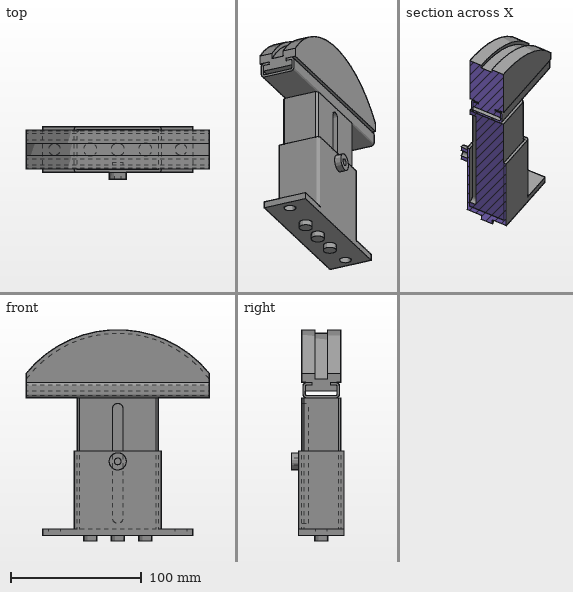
import cadquery as cq
import math


PLATE_LENGTH = 114.8
PLATE_THICKNESS = 5.2
HOUSING_LENGTH = 66.6
HOUSING_WIDTH = 35.1
HOUSING_TOP = 64.8
HOUSING_WALL = 2.3
HOUSING_CORNER_RADIUS = 2.3
BOLT_HOLE_DIAMETER = 8.9
BOLT_HOLE_SPACING = 96.7
BOLT_HOLE_COUNT = 2
PEG_DIAMETER = 10.0
PEG_LENGTH = 4.2
PEG_PITCH = 21.0
PEG_COUNT = 3

COLLAR_DIAMETER = 13.1
COLLAR_BORE = 5.2
COLLAR_LENGTH = 5.3
COLLAR_Z = 56.8

POST_LENGTH = 62.1
POST_WIDTH = 30.0
POST_TOP = 105.3
POST_CHAMFER = 2.0
SLOT_WIDTH = 8.1
SLOT_DEPTH = 5.2
SLOT_END_MARGIN = 4.2
SCALE_WIDTH = 15.4
SCALE_CENTRE_X = -15.7
SCALE_TOP = 103.2
SCALE_END_BAND = 22.0
SCALE_MIDDLE_BAND = 9.9
SCALE_DEPTH = 1.0

RAIL_LENGTH = 140.0
RAIL_WIDTH = 28.0
RAIL_HEIGHT = 12.0
RAIL_WALL = 2.0
RAIL_OUTER_RADIUS = 2.9
RAIL_INNER_RADIUS = RAIL_OUTER_RADIUS - RAIL_WALL
RAIL_MOUTH = 14.2
RAIL_TOP = POST_TOP + RAIL_HEIGHT

SADDLE_WIDTH = POST_WIDTH
SADDLE_RADIUS = 90.0
OVERALL_HEIGHT = 161.7
SADDLE_TOP = OVERALL_HEIGHT - PEG_LENGTH
GROOVE_WIDTH = 9.4
GROOVE_DEPTH = 2.7
FOOT_WIDTH = RAIL_WIDTH - 2 * RAIL_WALL
FOOT_THICKNESS = 4.9


def box(length, width, bottom, top):
    """Upright block centred on X and Y between two heights."""
    return cq.Workplane("XY").workplane(offset=bottom).rect(length, width).extrude(top - bottom)


def full_length_bar(width, bottom, top):
    """Block of the rail's full length."""
    return box(RAIL_LENGTH, width, bottom, top)


def make_housing():
    plate = box(PLATE_LENGTH, HOUSING_WIDTH, 0, PLATE_THICKNESS)
    tube = box(HOUSING_LENGTH, HOUSING_WIDTH, PLATE_THICKNESS, HOUSING_TOP)
    tube = tube.edges("|Z").fillet(HOUSING_CORNER_RADIUS)
    cavity_length = HOUSING_LENGTH - 2 * HOUSING_WALL
    cavity_width = HOUSING_WIDTH - 2 * HOUSING_WALL
    cavity = box(cavity_length, cavity_width, PLATE_THICKNESS, HOUSING_TOP)
    bolt_holes = (
        cq.Workplane("XY")
        .rarray(BOLT_HOLE_SPACING, 1.6, BOLT_HOLE_COUNT, 1)
        .circle(BOLT_HOLE_DIAMETER / 2)
        .extrude(PLATE_THICKNESS)
    )
    pegs = cq.Workplane("XY").rarray(PEG_PITCH, 1.6, PEG_COUNT, 1).circle(PEG_DIAMETER / 2).extrude(-PEG_LENGTH)
    return plate.union(tube).cut(cavity).cut(bolt_holes).union(pegs)


def make_collar():
    return (
        cq.Workplane("XZ", origin=(0, -HOUSING_WIDTH / 2, COLLAR_Z))
        .circle(COLLAR_DIAMETER / 2)
        .circle(COLLAR_BORE / 2)
        .extrude(COLLAR_LENGTH)
    )


def make_post():
    post = box(POST_LENGTH, POST_WIDTH, PLATE_THICKNESS, POST_TOP).edges("|Z").chamfer(POST_CHAMFER)
    slot_length = POST_TOP - PLATE_THICKNESS - 2 * SLOT_END_MARGIN
    slot_z = (POST_TOP + PLATE_THICKNESS) / 2
    slot = (
        cq.Workplane("XZ", origin=(0, -POST_WIDTH / 2, slot_z))
        .slot2D(slot_length, SLOT_WIDTH, angle=90)
        .extrude(-SLOT_DEPTH)
    )
    return add_scale(post.cut(slot))


def add_scale(post):
    """Divide the front face into three flush bands."""
    band_top = SCALE_TOP
    for height in (SCALE_END_BAND, SCALE_MIDDLE_BAND, SCALE_END_BAND):
        band = (
            cq.Workplane("XZ", origin=(SCALE_CENTRE_X, -POST_WIDTH / 2, band_top - height / 2))
            .rect(SCALE_WIDTH, height)
            .extrude(-SCALE_DEPTH)
        )
        post = post.cut(band, clean=False).union(band, clean=False)
        band_top -= height
    return post


def make_rail():
    outer = full_length_bar(RAIL_WIDTH, POST_TOP, RAIL_TOP).edges("|X").fillet(RAIL_OUTER_RADIUS)
    inner = full_length_bar(FOOT_WIDTH, POST_TOP + RAIL_WALL, RAIL_TOP - RAIL_WALL)
    inner = inner.edges("|X").fillet(RAIL_INNER_RADIUS)
    mouth = full_length_bar(RAIL_MOUTH, RAIL_TOP - RAIL_WALL, RAIL_TOP)
    return outer.cut(inner).cut(mouth)


def saddle_segment(width, radius, top, bottom):
    """Slab with an arched top, as long as the rail."""
    half_length = RAIL_LENGTH / 2
    shoulder = top - radius + math.sqrt(radius**2 - half_length**2)
    return (
        cq.Workplane("XZ")
        .moveTo(-half_length, bottom)
        .lineTo(-half_length, shoulder)
        .threePointArc((0, top), (half_length, shoulder))
        .lineTo(half_length, bottom)
        .close()
        .extrude(width / 2, both=True)
    )


def make_saddle():
    body = saddle_segment(SADDLE_WIDTH, SADDLE_RADIUS, SADDLE_TOP, RAIL_TOP)
    groove_floor = saddle_segment(
        GROOVE_WIDTH, SADDLE_RADIUS - GROOVE_DEPTH, SADDLE_TOP - GROOVE_DEPTH, RAIL_TOP
    )
    groove = full_length_bar(GROOVE_WIDTH, RAIL_TOP, SADDLE_TOP).cut(groove_floor)
    neck = full_length_bar(RAIL_MOUTH, RAIL_TOP - RAIL_WALL, RAIL_TOP)
    foot_top = RAIL_TOP - RAIL_WALL
    foot = full_length_bar(FOOT_WIDTH, foot_top - FOOT_THICKNESS, foot_top)
    foot = foot.edges("|X and >Z").fillet(RAIL_INNER_RADIUS)
    return body.cut(groove).union(neck).union(foot)


housing = make_housing()
collar = make_collar()
post = make_post()
rail = make_rail()
saddle = make_saddle()

result = cq.Compound.makeCompound([housing.val(), collar.val(), post.val(), rail.val(), saddle.val()])